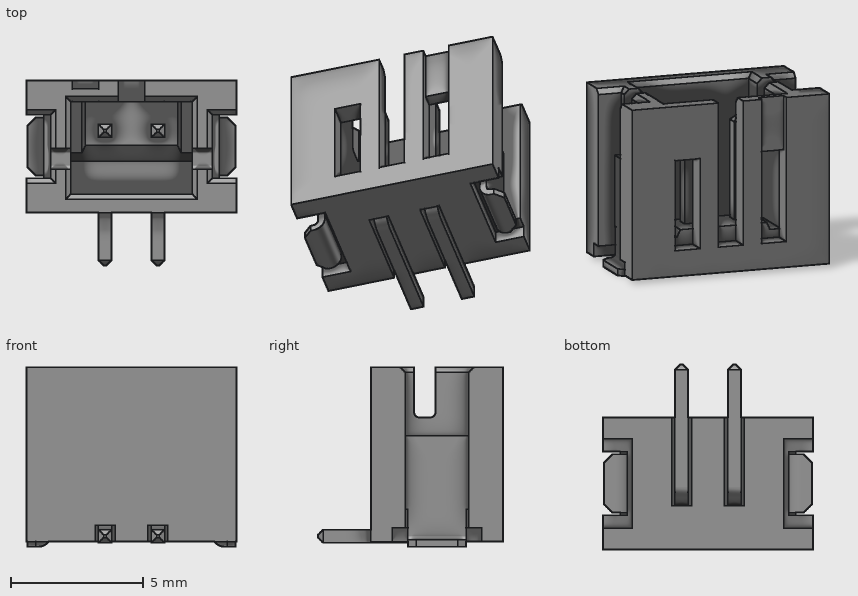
import cadquery as cq


body_width = 7.95
body_depth = 5.0
body_height = 6.6
lead_in = 0.2

cavity_half_width = 2.3
cavity_front = 0.7
cavity_back = 4.2
cavity_floor = 1.0

step_front = 1.94
ledge_rise = 0.325
block_rise = 0.605
block_half_base = 1.88
block_half_top = 1.74

clip_center_y = body_depth / 2
side_recess_width = 2.4
side_wall_half_width = 3.06

latch_slot_front = 1.64
latch_slot_width = 0.8
latch_slot_depth = 1.9
latch_slot_radius = 0.2

back_slot_width = 1.0
window_center_x = 1.74
window_top = 4.5
key_notch_depth = 0.32

foot_recess_length = 3.39
foot_recess_height = 0.52
foot_recess_half_width = 2.86

clip_thickness = 0.26
clip_top = 4.0
clip_shoulder = 1.225
clip_foot_width = 2.21
clip_foot_half_span = 3.935
clip_foot_bottom = -0.2
clip_bend_radius = 0.19
clip_corner = 0.32

pin_pitch = 2.0
pin_positions = [-pin_pitch / 2, pin_pitch / 2]
pin_size = 0.5
pin_center_y = 3.09
pin_top = 5.605
pin_leg_bottom = -0.05
pin_leg_reach = 2.0
pin_bend_radius = 0.2
pin_tip = 0.2
channel_width = 0.755
channel_height = 0.61


def box(x_min, x_max, y_min, y_max, z_min, z_max):
    size = (x_max - x_min, y_max - y_min, z_max - z_min)
    return cq.Workplane("XY").box(*size, centered=False).translate((x_min, y_min, z_min))


def flared_opening(x_min, x_max, y_min, y_max, floor):
    """Cutter for a rectangular opening with a 45 degree lead-in at the top of the shroud."""
    rim_width = x_max - x_min + 2 * lead_in
    rim_depth = y_max - y_min + 2 * lead_in
    flare = (
        cq.Workplane("XY")
        .rect(rim_width, rim_depth)
        .extrude(-lead_in, taper=45)
        .translate(((x_min + x_max) / 2, (y_min + y_max) / 2, body_height))
    )
    return box(x_min, x_max, y_min, y_max, floor, body_height).union(flare)


def both_sides(left):
    return left.union(left.mirror("YZ"))


def cavity_step():
    """Ledge across the cavity with a raised center block, both cut by one 45 degree front slope."""
    ledge_top = cavity_floor + ledge_rise
    block_top = cavity_floor + block_rise
    ledge = box(-cavity_half_width, cavity_half_width, step_front, cavity_back, cavity_floor, ledge_top)
    block = (
        cq.Workplane("XZ", origin=(0, step_front, 0))
        .polyline([
            (-block_half_base, ledge_top),
            (block_half_base, ledge_top),
            (block_half_top, block_top),
            (-block_half_top, block_top),
        ])
        .close()
        .extrude(step_front - cavity_back)
    )
    slope = (
        cq.Workplane("YZ")
        .polyline([
            (step_front, cavity_floor),
            (step_front + block_rise, block_top),
            (cavity_back, block_top),
            (cavity_back, cavity_floor),
        ])
        .close()
        .extrude(cavity_half_width, both=True)
    )
    return ledge.union(block).intersect(slope)


def latch_slots():
    return (
        box(
            -body_width / 2, body_width / 2,
            latch_slot_front, latch_slot_front + latch_slot_width,
            body_height - latch_slot_depth, body_height,
        )
        .edges("|X and <Z")
        .fillet(latch_slot_radius)
    )


def back_openings():
    """Center slot open at the top, one window on each side, and a key notch above the left window."""
    half = back_slot_width / 2
    center_slot = box(-half, half, cavity_back, body_depth, cavity_floor, body_height)
    left, right = -window_center_x - half, -window_center_x + half
    window = box(left, right, cavity_back, body_depth, cavity_floor, window_top)
    key_notch = box(left, right, body_depth - key_notch_depth, body_depth, window_top, body_height)
    return center_slot.union(both_sides(window)).union(key_notch)


def shroud():
    half_width = body_width / 2
    body = box(-half_width, half_width, 0, body_depth, 0, body_height)
    cavity = flared_opening(-cavity_half_width, cavity_half_width, cavity_front, cavity_back, cavity_floor)
    side_recess = flared_opening(
        -half_width, -side_wall_half_width,
        clip_center_y - side_recess_width / 2, clip_center_y + side_recess_width / 2,
        0,
    )
    foot_recess = box(
        -half_width, -foot_recess_half_width,
        clip_center_y - foot_recess_length / 2, clip_center_y + foot_recess_length / 2,
        0, foot_recess_height,
    )
    body = body.cut(cavity).union(cavity_step())
    body = body.cut(both_sides(side_recess)).cut(both_sides(foot_recess))
    body = body.cut(latch_slots()).cut(back_openings())
    for x in pin_positions:
        body = body.cut(box(
            x - channel_width / 2, x + channel_width / 2,
            0, pin_center_y + pin_size / 2,
            0, channel_height,
        ))
    return body


def left_clip():
    """Upright plate against the side wall, bent outwards into a solder foot."""
    inner_x = -side_wall_half_width
    outer_x = inner_x - clip_thickness
    foot_top = clip_foot_bottom + clip_thickness
    outer_bend_radius = clip_bend_radius + clip_thickness
    strip = (
        cq.Workplane("XZ", origin=(0, clip_center_y, 0))
        .moveTo(inner_x, clip_top)
        .lineTo(inner_x, foot_top + clip_bend_radius)
        .radiusArc((inner_x - outer_bend_radius, clip_foot_bottom), outer_bend_radius)
        .lineTo(-clip_foot_half_span, clip_foot_bottom)
        .lineTo(-clip_foot_half_span, foot_top)
        .lineTo(outer_x - clip_bend_radius, foot_top)
        .radiusArc((outer_x, foot_top + clip_bend_radius), -clip_bend_radius)
        .lineTo(outer_x, clip_top)
        .close()
        .extrude(clip_foot_width / 2, both=True)
        .edges("|Z and <X")
        .chamfer(clip_corner)
    )
    shoulders = box(
        outer_x, inner_x,
        clip_center_y - side_recess_width / 2, clip_center_y + side_recess_width / 2,
        clip_shoulder, clip_top,
    )
    return strip.union(shoulders)


def pin_end(plane, origin):
    tip = cq.Workplane(plane, origin=origin).rect(pin_size, pin_size)
    return tip.extrude(pin_tip, taper=45)


def pin(x):
    """Square pin: upright contact post, bend under the cavity and leg out through the front."""
    back = pin_center_y + pin_size / 2
    front = back - pin_size
    leg_top = pin_leg_bottom + pin_size
    outer_bend_radius = pin_bend_radius + pin_size
    post_shoulder = pin_top - pin_tip
    leg_shoulder = pin_tip - pin_leg_reach
    bar = (
        cq.Workplane("YZ", origin=(x, 0, 0))
        .moveTo(leg_shoulder, leg_top)
        .lineTo(front - pin_bend_radius, leg_top)
        .radiusArc((front, leg_top + pin_bend_radius), -pin_bend_radius)
        .lineTo(front, post_shoulder)
        .lineTo(back, post_shoulder)
        .lineTo(back, pin_leg_bottom + outer_bend_radius)
        .radiusArc((back - outer_bend_radius, pin_leg_bottom), outer_bend_radius)
        .lineTo(leg_shoulder, pin_leg_bottom)
        .close()
        .extrude(pin_size / 2, both=True)
    )
    post_tip = pin_end("XY", (x, pin_center_y, post_shoulder))
    leg_tip = pin_end("XZ", (x, leg_shoulder, pin_leg_bottom + pin_size / 2))
    return bar.union(post_tip).union(leg_tip)


result = shroud().union(both_sides(left_clip()))
for pin_x in pin_positions:
    result = result.union(pin(pin_x))